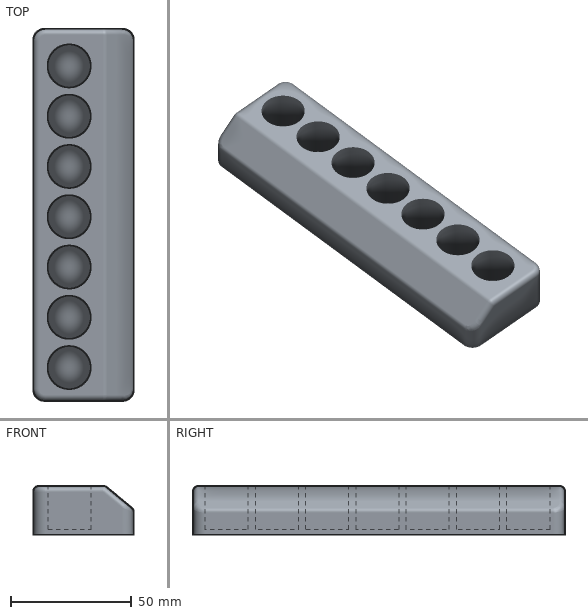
import cadquery as cq

width = 42.0
length = 155.0
height = 20.5
corner_radius = 5.0
top_edge_radius = 2.5

slope_start_x = 30.0
slope_foot_z = 10.5

socket_count = 7
socket_diameter = 18.0
socket_pitch = 21.0
socket_center_x = 15.0
socket_row_offset_y = -0.8
socket_floor = 2.5
socket_depth = height - socket_floor


def make_block():
    """Prism with a sloped face, rounded corners and rounded upper edges."""
    profile = [
        (0, 0),
        (width, 0),
        (width, slope_foot_z),
        (slope_start_x, height),
        (0, height),
    ]
    block = cq.Workplane("XZ").polyline(profile).close().extrude(length / 2, both=True)
    block = block.edges("|Z").fillet(corner_radius)
    return block.edges("not(|Z or <Z)").fillet(top_edge_radius)


def make_sockets():
    """Cylinders that cut the sockets, evenly spaced along Y."""
    return (
        cq.Workplane("XY", origin=(socket_center_x, socket_row_offset_y, socket_floor))
        .rarray(1.5, socket_pitch, 1, socket_count)
        .circle(socket_diameter / 2)
        .extrude(socket_depth)
    )


result = make_block().cut(make_sockets())